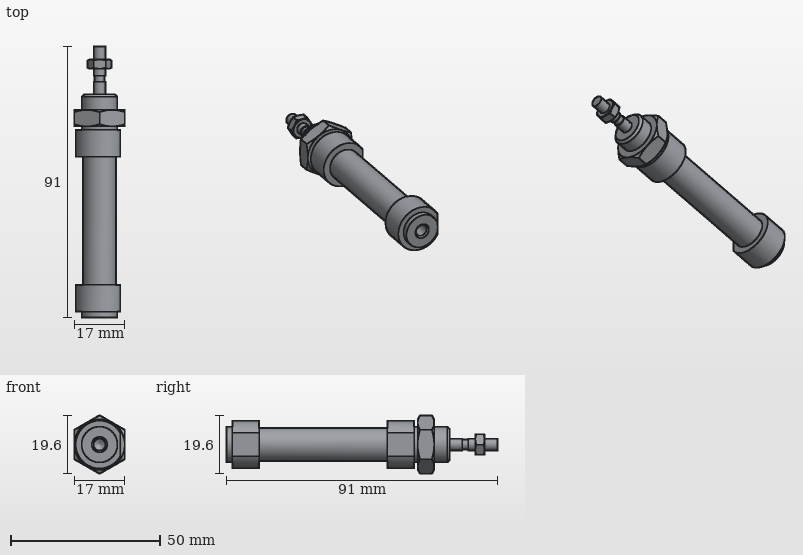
import cadquery as cq
import math

total_length = 91.0

tube_diameter = 11.2
head_diameter = 16.0
head_flat_offset = 7.0
spigot_diameter = 12.0
rear_spigot_length = 2.0
head_length = 9.0
nose_end = total_length - 16.0
nose_length = 12.0
nose_chamfer = 0.9
rear_head_start = rear_spigot_length
rear_head_end = rear_head_start + head_length
front_head_end = nose_end - nose_length
front_head_start = front_head_end - head_length

port_diameter = 4.0
port_mouth_diameter = 5.2
port_depth = 6.0
countersink_depth = (port_mouth_diameter - port_diameter) / 2
drill_tip_angle = 118.0
drill_tip_length = port_diameter / 2 / math.tan(math.radians(drill_tip_angle / 2))

rod_diameter = 4.0
groove_diameter = 3.5
groove_start = total_length - 11.8
groove_length = 1.9

mount_nut_flats = 17.0
mount_nut_start = total_length - 26.8
mount_nut_length = 5.55
mount_nut_face_diameter = 16.9
rod_nut_flats = 7.0
rod_nut_start = total_length - 7.55
rod_nut_length = 3.2
rod_nut_face_diameter = 6.7
nut_chamfer_angle = 30.0


def cylinder(diameter, start, end):
    """Solid cylinder on the Y axis from Y = start to Y = end."""
    return cq.Workplane("XZ", origin=(0, start, 0)).circle(diameter / 2).extrude(start - end)


def make_head(start, end):
    """Cylinder head with one flat on the +X side."""
    beyond_flat = (
        cq.Workplane("XY")
        .box(head_diameter, end - start, head_diameter, centered=(False, False, True))
        .translate((head_flat_offset, start, 0))
    )
    return cylinder(head_diameter, start, end).cut(beyond_flat)


def make_port():
    """Volume of the rear port, revolved about the Y axis."""
    return (
        cq.Workplane("XY")
        .lineTo(port_mouth_diameter / 2, 0)
        .lineTo(port_diameter / 2, countersink_depth)
        .lineTo(port_diameter / 2, port_depth)
        .lineTo(0, port_depth + drill_tip_length)
        .close()
        .revolve(360, (0, 0, 0), (0, 1, 0))
    )


def make_housing():
    """Tube, both heads, rear spigot and front nose, with the rod bore and the port."""
    nose = cylinder(spigot_diameter, front_head_end, nose_end).faces(">Y").chamfer(nose_chamfer)
    return (
        cylinder(tube_diameter, rear_head_end, front_head_start)
        .union(make_head(rear_head_start, rear_head_end))
        .union(make_head(front_head_start, front_head_end))
        .union(cylinder(spigot_diameter, 0, rear_head_start))
        .union(nose)
        .cut(make_port())
        .cut(cylinder(rod_diameter, front_head_start, nose_end))
    )


def make_rod():
    """Rod seated in the front head, with a narrow neck outside the nose."""
    groove_end = groove_start + groove_length
    return (
        cylinder(rod_diameter, front_head_start, groove_start)
        .union(cylinder(groove_diameter, groove_start, groove_end))
        .union(cylinder(rod_diameter, groove_end, total_length))
    )


def make_nut(flats, bore, start, length, face_diameter, corner_angle):
    """Hex nut with conical corner chamfers on both faces; corner_angle turns it about Y."""
    corner_diameter = flats / math.cos(math.pi / 6)
    blank = (
        cq.Workplane("XZ", origin=(0, start, 0))
        .polygon(6, corner_diameter)
        .extrude(-length)
        .rotate((0, 0, 0), (0, 1, 0), corner_angle)
    )
    corner_radius = corner_diameter / 2
    face_radius = face_diameter / 2
    cone_length = (corner_radius - face_radius) * math.tan(math.radians(nut_chamfer_angle))
    end = start + length
    envelope = (
        cq.Workplane("XY")
        .moveTo(0, start)
        .lineTo(face_radius, start)
        .lineTo(corner_radius, start + cone_length)
        .lineTo(corner_radius, end - cone_length)
        .lineTo(face_radius, end)
        .lineTo(0, end)
        .close()
        .revolve(360, (0, 0, 0), (0, 1, 0))
    )
    return blank.intersect(envelope).cut(cylinder(bore, start, end))


housing = make_housing()
rod = make_rod()
mount_nut = make_nut(
    mount_nut_flats, spigot_diameter, mount_nut_start, mount_nut_length, mount_nut_face_diameter, 90
)
rod_nut = make_nut(
    rod_nut_flats, rod_diameter, rod_nut_start, rod_nut_length, rod_nut_face_diameter, 0
)

result = cq.Compound.makeCompound([housing.val(), rod.val(), mount_nut.val(), rod_nut.val()])